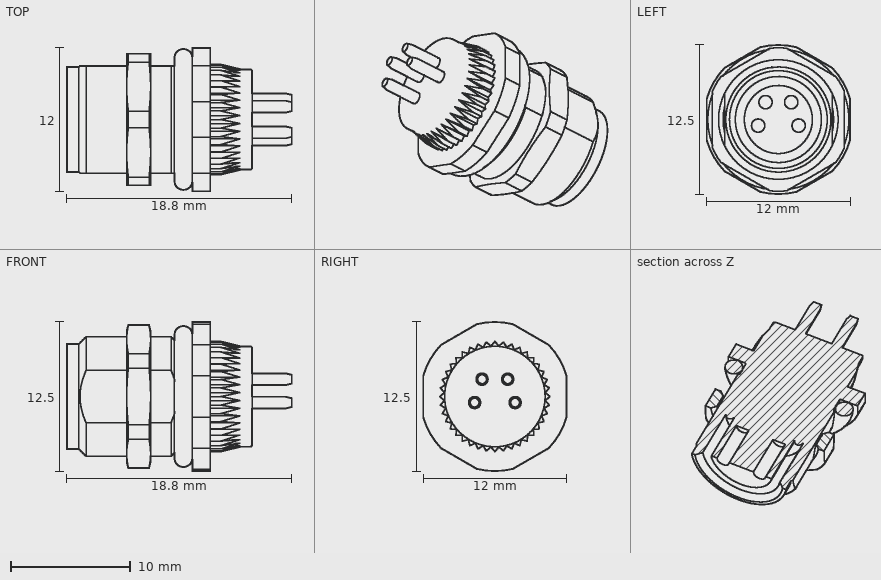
import cadquery as cq
import math


RIM_LENGTH = 1.0
NUT_START = 5.0
NUT_THICKNESS = 2.0
THREAD_END = 8.7
FLANGE_START = 10.49
FLANGE_THICKNESS = 1.5
KNURL_TAPER_START = 12.88
COLLAR_START = 14.55
COLLAR_END = 15.5
PIN_END = 18.8

RIM_RADIUS = 8.8 / 2
THREAD_RADIUS = 5.0
THREAD_FLAT_OFFSET = 4.5
COLLAR_RADIUS = 8.4 / 2
COLLAR_EDGE_RADIUS = 0.19
FLANGE_RADIUS = 6.25
FLANGE_FLAT_OFFSET = 6.0
HEX_SIDES = 6

KNURL_TEETH = 40
KNURL_CREST_RADIUS = 4.6
KNURL_ROOT_RADIUS = 4.23

SOCKET_RADIUS = 7.2 / 2
SOCKET_CHAMFER = 0.49
SOCKET_DEPTH = 5.0
POST_RADIUS = 5.7 / 2
POST_RECESS = SOCKET_CHAMFER

CONTACTS = [(-1.7, -0.5), (1.7, -0.5), (-1.07, 1.45), (1.07, 1.45)]
CONTACT_HOLE_DIAMETER = 1.1
CONTACT_HOLE_DEPTH = 3.76
PIN_RADIUS = 1.0 / 2
PIN_TIP_RADIUS = 0.38
PIN_TIP_LENGTH = 0.5

NUT_FLAT_OFFSET = 5.5
NUT_CORNER_RADIUS = 6.0
NUT_CHAMFER_LENGTH = 0.13
NUT_BORE_RADIUS = 4.62

ORING_TUBE_RADIUS = 0.75
ORING_CENTRE_RADIUS = RIM_RADIUS + ORING_TUBE_RADIUS
ORING_CENTRE_X = FLANGE_START - ORING_TUBE_RADIUS


def revolve_about_x(profile):
    """Revolve a closed outline, drawn as X against radius, about the X axis."""
    return profile.close().revolve(360, (0, 0, 0), (1, 0, 0))


def section_at(x):
    """Workplane across the axis, with local axes along +Y and +Z, extruding toward +X."""
    return cq.Workplane("YZ", origin=(x, 0, 0))


def hexagon(x, thickness, flat_offset):
    """Hexagonal prism with two sides square to Y."""
    corner_diameter = 2 * flat_offset / math.cos(math.pi / HEX_SIDES)
    prism = section_at(0).polygon(HEX_SIDES, corner_diameter).extrude(thickness)
    return prism.rotate((0, 0, 0), (1, 0, 0), 180 / HEX_SIDES).translate((x, 0, 0))


def barrel_envelope(start, end):
    """Thread-sized round bar with the two flats of the barrel."""
    bar = section_at(start).circle(THREAD_RADIUS).extrude(end - start)
    slab = section_at(start).rect(2 * THREAD_FLAT_OFFSET, 2 * THREAD_RADIUS).extrude(end - start)
    return bar.intersect(slab)


def housing_shell():
    """Threaded barrel with the neck, rear collar, annular socket and the post inside it."""
    thread_step = THREAD_RADIUS - RIM_RADIUS
    seal_radius = (SOCKET_RADIUS - POST_RADIUS) / 2
    seal_centre_radius = POST_RADIUS + seal_radius
    profile = (
        cq.Workplane("XY")
        .moveTo(POST_RECESS, 0)
        .lineTo(POST_RECESS, POST_RADIUS)
        .lineTo(SOCKET_DEPTH, POST_RADIUS)
        .threePointArc((SOCKET_DEPTH - seal_radius, seal_centre_radius), (SOCKET_DEPTH, SOCKET_RADIUS))
        .lineTo(SOCKET_CHAMFER, SOCKET_RADIUS)
        .lineTo(0, SOCKET_RADIUS + SOCKET_CHAMFER)
        .lineTo(0, RIM_RADIUS)
        .lineTo(RIM_LENGTH, RIM_RADIUS)
        .lineTo(RIM_LENGTH + thread_step, THREAD_RADIUS)
        .lineTo(THREAD_END, THREAD_RADIUS)
        .lineTo(THREAD_END + thread_step, RIM_RADIUS)
        .lineTo(FLANGE_START, RIM_RADIUS)
        .lineTo(FLANGE_START, COLLAR_RADIUS)
        .lineTo(COLLAR_END, COLLAR_RADIUS)
        .lineTo(COLLAR_END, 0)
    )
    shell = revolve_about_x(profile).faces(">X").edges().fillet(COLLAR_EDGE_RADIUS)
    front = barrel_envelope(0, FLANGE_START)
    rear = section_at(FLANGE_START).circle(FLANGE_RADIUS).extrude(COLLAR_END - FLANGE_START)
    return shell.intersect(front.union(rear))


def flange():
    """Hexagonal flange with its corners turned off."""
    disc = section_at(FLANGE_START).circle(FLANGE_RADIUS).extrude(FLANGE_THICKNESS)
    return disc.intersect(hexagon(FLANGE_START, FLANGE_THICKNESS, FLANGE_FLAT_OFFSET))


def knurl():
    """Straight V-shaped teeth whose crests taper down to the collar."""
    start = FLANGE_START + FLANGE_THICKNESS
    outline = []
    for i in range(2 * KNURL_TEETH):
        angle = math.pi * i / KNURL_TEETH
        radius = KNURL_CREST_RADIUS if i % 2 == 0 else KNURL_ROOT_RADIUS
        outline.append((radius * math.cos(angle), radius * math.sin(angle)))
    teeth = section_at(start).polyline(outline).close().extrude(COLLAR_START - start)
    envelope = revolve_about_x(
        cq.Workplane("XY")
        .moveTo(start, 0)
        .lineTo(start, KNURL_CREST_RADIUS)
        .lineTo(KNURL_TAPER_START, KNURL_CREST_RADIUS)
        .lineTo(COLLAR_START, COLLAR_RADIUS)
        .lineTo(COLLAR_START, 0)
    )
    return teeth.intersect(envelope)


def contact_pin(y, z):
    """Solder pin with a tapered tip, standing on the rear face."""
    pin = revolve_about_x(
        cq.Workplane("XY")
        .moveTo(COLLAR_END, 0)
        .lineTo(COLLAR_END, PIN_RADIUS)
        .lineTo(PIN_END - PIN_TIP_LENGTH, PIN_RADIUS)
        .lineTo(PIN_END, PIN_TIP_RADIUS)
        .lineTo(PIN_END, 0)
    )
    return pin.translate((0, y, z))


def make_housing():
    body = housing_shell().union(flange()).union(knurl())
    holes = (
        section_at(POST_RECESS)
        .pushPoints(CONTACTS)
        .circle(CONTACT_HOLE_DIAMETER / 2)
        .extrude(CONTACT_HOLE_DEPTH)
    )
    body = body.cut(holes)
    for y, z in CONTACTS:
        body = body.union(contact_pin(y, z))
    return body


def make_nut():
    """Hexagonal nut, chamfered outside and in the bore, cut to fit the flatted barrel."""
    end = NUT_START + NUT_THICKNESS
    bore_chamfer = THREAD_RADIUS - NUT_BORE_RADIUS
    turned = revolve_about_x(
        cq.Workplane("XY")
        .moveTo(NUT_START, THREAD_RADIUS)
        .lineTo(NUT_START, NUT_FLAT_OFFSET)
        .lineTo(NUT_START + NUT_CHAMFER_LENGTH, NUT_CORNER_RADIUS)
        .lineTo(end - NUT_CHAMFER_LENGTH, NUT_CORNER_RADIUS)
        .lineTo(end, NUT_FLAT_OFFSET)
        .lineTo(end, THREAD_RADIUS)
        .lineTo(end - bore_chamfer, NUT_BORE_RADIUS)
        .lineTo(NUT_START + bore_chamfer, NUT_BORE_RADIUS)
    )
    hexagonal = turned.intersect(hexagon(NUT_START, NUT_THICKNESS, NUT_FLAT_OFFSET))
    return hexagonal.cut(barrel_envelope(NUT_START, end))


def make_oring():
    tube = cq.Workplane("XY").center(ORING_CENTRE_X, ORING_CENTRE_RADIUS).circle(ORING_TUBE_RADIUS)
    return tube.revolve(360, (0, -ORING_CENTRE_RADIUS, 0), (1, -ORING_CENTRE_RADIUS, 0))


housing = make_housing()
nut = make_nut()
oring = make_oring()

result = cq.Compound.makeCompound([*housing.solids().vals(), *nut.solids().vals(), *oring.solids().vals()])